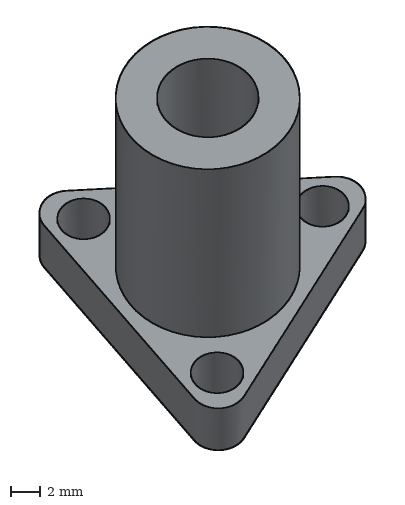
import cadquery as cq
import math

flange_width = 22.53
corner_radius = 2.0
flange_thickness = 4.572
overall_height = 22.86
barrel_diameter = 12.7
bore_diameter = 7.0
mount_hole_diameter = 3.63
mount_circle_radius = 9.525

corner_center_spacing = flange_width - 2 * corner_radius
corner_circle_radius = corner_center_spacing / math.sqrt(3)
sharp_corner_radius = corner_circle_radius + 2 * corner_radius
corner_angles = [90, 210, 330]


def polar_points(radius):
    """One point towards each corner of the flange, at the given radius."""
    return [
        (radius * math.cos(math.radians(angle)), radius * math.sin(math.radians(angle)))
        for angle in corner_angles
    ]


def make_flange():
    """Triangular plate with rounded corners, resting on Z = 0."""
    plate = cq.Workplane("XY").polyline(polar_points(sharp_corner_radius)).close().extrude(flange_thickness)
    return plate.edges("|Z").fillet(corner_radius)


def make_barrel():
    """Round barrel running the full height of the part."""
    return cq.Workplane("XY").circle(barrel_diameter / 2).extrude(overall_height)


def make_bore():
    """Cutter for the bore through the barrel and flange."""
    return cq.Workplane("XY").circle(bore_diameter / 2).extrude(overall_height)


def make_mount_holes():
    """Cutters for the through holes, one near each flange corner."""
    centers = cq.Workplane("XY").pushPoints(polar_points(mount_circle_radius))
    return centers.circle(mount_hole_diameter / 2).extrude(flange_thickness)


result = make_flange().union(make_barrel()).cut(make_bore()).cut(make_mount_holes())